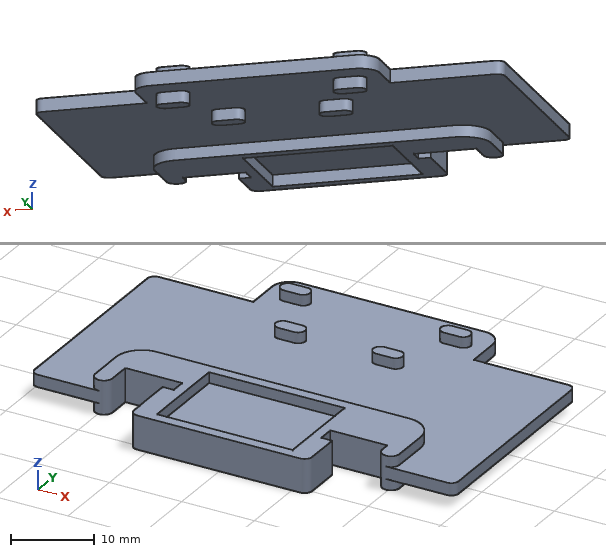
import cadquery as cq

total_height = 4.6
plate_height = 1.7
step_height = (total_height - plate_height) / 2

wing_width = 58.5
wing_front = 5.75
wing_back = 35.0
wing_radius = 1.0
tab_width = 30.4
tab_back = 42.0
tab_radius = 2.45

bridge_width = 42.0
bridge_back = 15.5
bridge_radius = 3.55
leg_width = 2.4
block_width = 24.55
block_radius = 1.05
neck_width = 21.5

left_slot_back = 10.0
left_lip_back = 7.95
right_slot_back = 8.15
right_lip_back = 5.9

pocket_width = 18.7
pocket_border = 1.45

peg_length = 4.1
peg_width = 2.0
peg_pairs = [(11.05, 37.9), (6.7, 29.15)]

leg_outer_x = bridge_width / 2
leg_inner_x = leg_outer_x - leg_width
leg_tip_radius = leg_width / 2
leg_middle_x = leg_outer_x - leg_tip_radius
leg_tip_y = wing_front + leg_tip_radius


def make_box(width, y_min, y_max, height):
    """Box centered on X = 0 and Z = 0, between two Y positions."""
    return (
        cq.Workplane("XY")
        .center(0, (y_min + y_max) / 2)
        .box(width, y_max - y_min, height)
    )


def make_plate():
    """Wings and tab, open at the front where the clip fills in between the leg middles."""
    wings = make_box(wing_width, wing_front, wing_back, plate_height)
    wings = wings.edges("|Z").fillet(wing_radius)
    tab = make_box(tab_width, wing_front, tab_back, plate_height)
    tab = tab.edges("|Z and >Y").fillet(tab_radius)
    clip_opening = make_box(2 * leg_middle_x, wing_front, left_slot_back, plate_height)
    return wings.union(tab).cut(clip_opening)


def make_clip():
    """Bridge, half-round leg tips, slots and block as one outline."""
    block_x = block_width / 2
    neck_x = neck_width / 2
    clip = (
        cq.Workplane("XY")
        .moveTo(-leg_outer_x, bridge_back)
        .lineTo(-leg_outer_x, leg_tip_y)
        .threePointArc((-leg_middle_x, wing_front), (-leg_inner_x, leg_tip_y))
        .lineTo(-leg_inner_x, left_slot_back)
        .lineTo(-neck_x, left_slot_back)
        .lineTo(-neck_x, left_lip_back)
        .lineTo(-block_x, left_lip_back)
        .lineTo(-block_x, 0)
        .lineTo(block_x, 0)
        .lineTo(block_x, right_lip_back)
        .lineTo(neck_x, right_lip_back)
        .lineTo(neck_x, right_slot_back)
        .lineTo(leg_inner_x, right_slot_back)
        .lineTo(leg_inner_x, leg_tip_y)
        .threePointArc((leg_middle_x, wing_front), (leg_outer_x, leg_tip_y))
        .lineTo(leg_outer_x, bridge_back)
        .close()
        .extrude(total_height / 2, both=True)
    )
    clip = clip.edges("|Z and >Y").fillet(bridge_radius)
    return clip.edges("|Z and <Y").fillet(block_radius)


def make_pegs():
    """Round-ended pegs that stand out from both faces of the plate."""
    centers = [(side * x, y) for x, y in peg_pairs for side in (-1, 1)]
    return (
        cq.Workplane("XY")
        .pushPoints(centers)
        .slot2D(peg_length, peg_width)
        .extrude(total_height / 2, both=True)
    )


def make_pocket(side):
    """Pocket on the top (side = 1) or the bottom (side = -1) of the block."""
    pocket = make_box(pocket_width, pocket_border, bridge_back - pocket_border, step_height)
    return pocket.translate((0, 0, side * (plate_height + step_height) / 2))


result = make_plate().union(make_clip()).union(make_pegs())
for side in (-1, 1):
    result = result.cut(make_pocket(side))